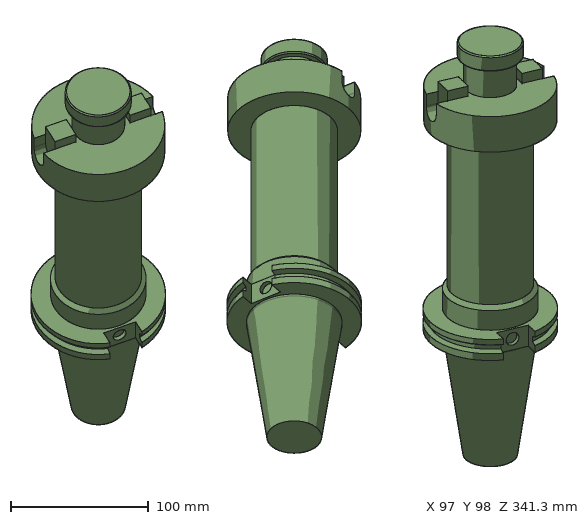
import cadquery as cq
import math

TOTAL_HEIGHT = 341.3
TAPER_TOP = 101.7
FLANGE_BOTTOM = 103.5
FLANGE_TOP = 120.8
COLLAR_TOP = 140.3
FACE_DISC_BOTTOM = 275.5
FACE_DISC_TOP = 304.8
SPIGOT_TOP = 328.7

GAUGE_DIAMETER = 69.5
FLANGE_DIAMETER = 98.0
SHANK_DIAMETER = 63.0
FACE_DISC_DIAMETER = 97.0
SPIGOT_DIAMETER = 38.5
SCREW_HEAD_DIAMETER = 48.0

TAPER_RATIO = 7 / 24
TAPER_END_DIAMETER = GAUGE_DIAMETER - TAPER_RATIO * TAPER_TOP

COLLAR_CHAMFER = (GAUGE_DIAMETER - SHANK_DIAMETER) / 2
SCREW_CHAMFER = 1.0

GROOVE_CENTER = 112.5
GROOVE_WIDTH = 7.0
GROOVE_DEPTH = 3.8
GROOVE_WALL_ANGLE = math.radians(25)

NOTCH_WIDTH = 25.5
NOTCH_FLOOR_RADIUS = 36.5
RECESS_DIAMETER = 10.2
RECESS_DEPTH = 3.5

KEY_WIDTH = 16.0
KEY_INNER = 22.0
KEY_OUTER = 38.5
KEY_TOP = 313.0
KEY_BOTTOM = 287.0


def make_revolved_arbor():
    """Taper, flange, shank, face disc and spigot as one turned profile."""
    gauge_radius = GAUGE_DIAMETER / 2
    flange_radius = FLANGE_DIAMETER / 2
    groove_radius = flange_radius - GROOVE_DEPTH
    half_mouth = GROOVE_WIDTH / 2
    half_floor = half_mouth - GROOVE_DEPTH * math.tan(GROOVE_WALL_ANGLE)
    profile = [
        (0, 0),
        (TAPER_END_DIAMETER / 2, 0),
        (gauge_radius, TAPER_TOP),
        (gauge_radius, FLANGE_BOTTOM),
        (flange_radius, FLANGE_BOTTOM),
        (flange_radius, GROOVE_CENTER - half_mouth),
        (groove_radius, GROOVE_CENTER - half_floor),
        (groove_radius, GROOVE_CENTER + half_floor),
        (flange_radius, GROOVE_CENTER + half_mouth),
        (flange_radius, FLANGE_TOP),
        (gauge_radius, FLANGE_TOP),
        (gauge_radius, COLLAR_TOP - COLLAR_CHAMFER),
        (SHANK_DIAMETER / 2, COLLAR_TOP),
        (SHANK_DIAMETER / 2, FACE_DISC_BOTTOM),
        (FACE_DISC_DIAMETER / 2, FACE_DISC_BOTTOM),
        (FACE_DISC_DIAMETER / 2, FACE_DISC_TOP),
        (SPIGOT_DIAMETER / 2, FACE_DISC_TOP),
        (SPIGOT_DIAMETER / 2, SPIGOT_TOP),
        (0, SPIGOT_TOP),
    ]
    return cq.Workplane("XZ").polyline(profile).close().revolve(360, (0, 0), (0, 1))


def make_flange_notch():
    """Cutting shape for the notch and its recess on the +X side."""
    notch = (
        cq.Workplane("XY", origin=(NOTCH_FLOOR_RADIUS, 0, FLANGE_BOTTOM))
        .rect(FLANGE_DIAMETER, NOTCH_WIDTH)
        .extrude(FLANGE_TOP - FLANGE_BOTTOM)
        .translate((FLANGE_DIAMETER / 2, 0, 0))
    )
    recess = (
        cq.Workplane("YZ", origin=(NOTCH_FLOOR_RADIUS - RECESS_DEPTH, 0, GROOVE_CENTER))
        .circle(RECESS_DIAMETER / 2)
        .extrude(2 * RECESS_DEPTH)
    )
    return notch.union(recess)


def make_key_shape(outer_end, top):
    """Round-bottomed bar on the -Y side, from the inner key end to outer_end."""
    half_width = KEY_WIDTH / 2
    arc_height = KEY_BOTTOM + half_width
    return (
        cq.Workplane("XZ", origin=(0, -KEY_INNER, 0))
        .moveTo(-half_width, top)
        .lineTo(-half_width, arc_height)
        .threePointArc((0, KEY_BOTTOM), (half_width, arc_height))
        .lineTo(half_width, top)
        .close()
        .extrude(outer_end - KEY_INNER)
    )


def turn(shape, angle):
    """Rotate a shape about the arbor axis."""
    return shape.rotate((0, 0, 0), (0, 0, 1), angle)


def make_arbor():
    arbor = make_revolved_arbor()
    key_slot = make_key_shape(FACE_DISC_DIAMETER, FACE_DISC_TOP)
    for angle in (0, 180):
        arbor = arbor.cut(turn(make_flange_notch(), angle))
        arbor = arbor.cut(turn(key_slot, angle))
    return arbor


def make_drive_key(angle):
    return turn(make_key_shape(KEY_OUTER, KEY_TOP), angle)


def make_screw_head():
    """Chamfered disc seated on the end of the spigot."""
    return (
        cq.Workplane("XY", origin=(0, 0, SPIGOT_TOP))
        .circle(SCREW_HEAD_DIAMETER / 2)
        .extrude(TOTAL_HEIGHT - SPIGOT_TOP)
        .edges()
        .chamfer(SCREW_CHAMFER)
    )


arbor = make_arbor()
drive_keys = [make_drive_key(angle) for angle in (0, 180)]
screw_head = make_screw_head()

result = cq.Compound.makeCompound(
    [arbor.val(), *[key.val() for key in drive_keys], screw_head.val()]
)